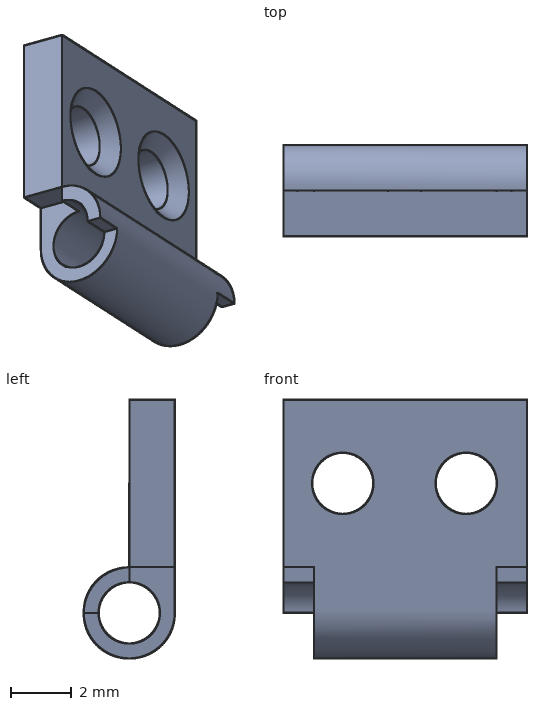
import cadquery as cq
import math

leaf_width = 8.0
leaf_thickness = 1.5
leaf_top = 7.0

pin_diameter = 2.0
barrel_radius = leaf_thickness
knuckle_width = 6.0

hole_diameter = 2.0
countersink_diameter = 3.0
countersink_depth = 0.5
left_hole_x = -2.05
right_hole_x = 2.0
hole_height = (barrel_radius + leaf_top) / 2


def make_leaf_and_barrel():
    """Full-width leaf that runs tangentially into a closed barrel."""
    arc_middle = barrel_radius * math.cos(math.radians(45))
    profile = (
        cq.Workplane("YZ")
        .workplane(offset=-leaf_width / 2)
        .moveTo(-leaf_thickness, leaf_top)
        .lineTo(-barrel_radius, 0)
        .threePointArc((arc_middle, -arc_middle), (0, barrel_radius))
        .lineTo(0, leaf_top)
        .close()
    )
    return profile.extrude(leaf_width)


def make_pin_bore():
    """Bore along the whole pin axis."""
    start = cq.Workplane("YZ").workplane(offset=-leaf_width / 2)
    return start.circle(pin_diameter / 2).extrude(leaf_width)


def make_end_notch(side):
    """Clearance beside the knuckle that leaves only the upper rear quarter of the barrel."""
    notch_width = (leaf_width - knuckle_width) / 2
    start_x = knuckle_width / 2 if side > 0 else -leaf_width / 2
    return (
        cq.Workplane("YZ")
        .workplane(offset=start_x)
        .moveTo(-barrel_radius, barrel_radius)
        .lineTo(0, barrel_radius)
        .lineTo(0, 0)
        .lineTo(barrel_radius, 0)
        .lineTo(barrel_radius, -barrel_radius)
        .lineTo(-barrel_radius, -barrel_radius)
        .close()
        .extrude(notch_width)
    )


def make_screw_hole(x):
    """Through hole at the given X, with its countersink opening on the rear face."""
    hole_radius = hole_diameter / 2
    return (
        cq.Workplane("XY")
        .moveTo(0, 0)
        .lineTo(countersink_diameter / 2, 0)
        .lineTo(hole_radius, -countersink_depth)
        .lineTo(hole_radius, -leaf_thickness)
        .lineTo(0, -leaf_thickness)
        .close()
        .revolve(360, (0, 0, 0), (0, 1, 0))
        .translate((x, 0, hole_height))
    )


result = make_leaf_and_barrel().cut(make_pin_bore())
for side in (-1, 1):
    result = result.cut(make_end_notch(side))
for hole_x in (left_hole_x, right_hole_x):
    result = result.cut(make_screw_hole(hole_x))